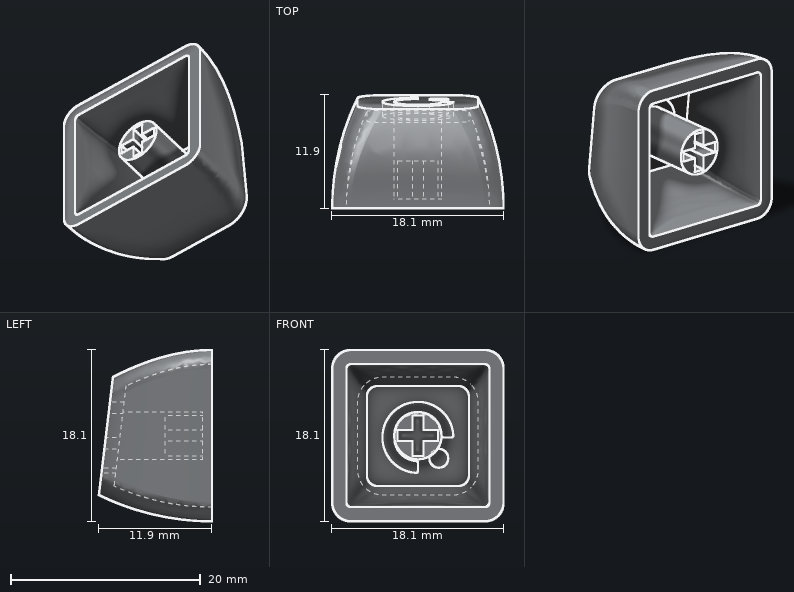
import cadquery as cq
import math

BASE_SIDE = 18.1
BASE_CORNER = 2.0
TOP_WIDTH = 12.7
TOP_HEIGHT = 12.55
TOP_CORNER = 2.66
TOP_Y = 11.2
TOP_TILT = 6.8
TOP_DROP = 0.04

WALL = 1.5
TOP_WALL = 1.5
OPENING_SIDE = BASE_SIDE - 2 * WALL
OPENING_CORNER = 0.5
FLOOR_WIDTH = 10.77
FLOOR_HEIGHT = 10.62
FLOOR_CORNER = 1.12
FLOOR_Y = TOP_Y - TOP_WALL

STEM_DIAMETER = 5.0
STEM_START_Y = 1.0
CROSS_LENGTH = 4.27
CROSS_WIDTH = 1.15
CROSS_DEPTH = 3.98

RING_CENTER_Z = -0.18
RING_OUTER_RADIUS = 3.75
RING_INNER_RADIUS = 2.5
RING_END_FILLET = 0.2
DOT_DIAMETER = 2.0
DOT_OFFSET = 2.2

LOFT_STEPS = 4
PAST_TOP = 3.62


def plane_at(y, tilt=0.0, z=0.0):
    """Sketch plane with local x along X and local y along Z, facing -Y, tilted about X."""
    angle = math.radians(tilt)
    normal = (0, -math.cos(angle), -math.sin(angle))
    return cq.Plane(origin=(0, y, z), xDir=(1, 0, 0), normal=normal)


def rounded_section(plane, width, height, corner):
    """Rounded rectangle wire centred on the plane."""
    sketch = cq.Sketch().rect(width, height).vertices().fillet(corner)
    return sketch._faces.Faces()[0].outerWire().moved(cq.Location(plane))


def domed_loft(base_side, base_corner, width, height, corner, depth):
    """Loft whose sides leave the base square to it and curve inward as a parabola."""
    sections = []
    for step in range(LOFT_STEPS + 1):
        t = step / LOFT_STEPS
        bulge = t ** 2
        section_width = base_side + (width - base_side) * bulge
        section_height = base_side + (height - base_side) * bulge
        section_corner = base_corner + (corner - base_corner) * bulge
        plane = plane_at(depth * t, TOP_TILT * t, -TOP_DROP * bulge)
        sections.append(rounded_section(plane, section_width, section_height, section_corner))
    return cq.Workplane(obj=cq.Solid.makeLoft(sections))


def socket_bar(width, height):
    """One bar of the cross-shaped socket in the stem end."""
    return cq.Workplane(plane_at(STEM_START_Y)).rect(width, height).extrude(-CROSS_DEPTH)


def make_inlay_bars():
    """Ring and dot as long bars along Y, from inside the cavity to beyond the top."""
    length = -(TOP_Y + PAST_TOP - STEM_START_Y)
    start = cq.Workplane(plane_at(STEM_START_Y, z=RING_CENTER_Z))
    diagonal = math.sqrt(0.5)
    ring = (
        start.moveTo(RING_OUTER_RADIUS, 0)
        .threePointArc((-RING_OUTER_RADIUS * diagonal, RING_OUTER_RADIUS * diagonal), (0, -RING_OUTER_RADIUS))
        .lineTo(0, -RING_INNER_RADIUS)
        .threePointArc((-RING_INNER_RADIUS * diagonal, RING_INNER_RADIUS * diagonal), (RING_INNER_RADIUS, 0))
        .close()
        .extrude(length)
        .edges("|Y")
        .fillet(RING_END_FILLET)
    )
    dot = start.center(DOT_OFFSET, -DOT_OFFSET).circle(DOT_DIAMETER / 2).extrude(length)
    return ring, dot


outer = domed_loft(BASE_SIDE, BASE_CORNER, TOP_WIDTH, TOP_HEIGHT, TOP_CORNER, TOP_Y)
cavity = domed_loft(OPENING_SIDE, OPENING_CORNER, FLOOR_WIDTH, FLOOR_HEIGHT, FLOOR_CORNER, FLOOR_Y)
shell = outer.cut(cavity)
ring_bar, dot_bar = make_inlay_bars()

keycap = shell.cut(ring_bar).cut(dot_bar)

stem = (
    cq.Workplane(plane_at(STEM_START_Y))
    .circle(STEM_DIAMETER / 2)
    .extrude(-TOP_Y)
    .intersect(cavity)
    .cut(socket_bar(CROSS_LENGTH, CROSS_WIDTH))
    .cut(socket_bar(CROSS_WIDTH, CROSS_LENGTH))
)
stem_with_inlay = stem.union(shell.intersect(ring_bar)).union(shell.intersect(dot_bar))

result = cq.Compound.makeCompound([keycap.val(), stem_with_inlay.val()])